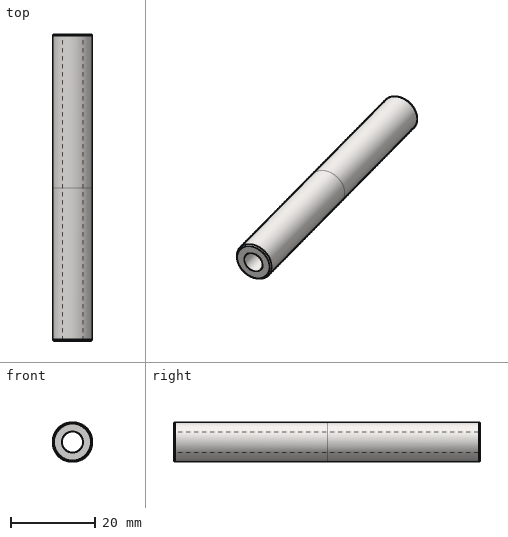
import cadquery as cq

length = 73.0
outer_diameter = 9.5
bore_diameter = 5.0
edge_chamfer = 0.4

rod = (
    cq.Workplane("XZ")
    .circle(outer_diameter / 2)
    .extrude(length / 2, both=True)
    .faces("<Y or >Y")
    .chamfer(edge_chamfer)
)

bore = (
    cq.Workplane("XZ")
    .circle(bore_diameter / 2)
    .extrude(length / 2, both=True)
)

result = rod.cut(bore)